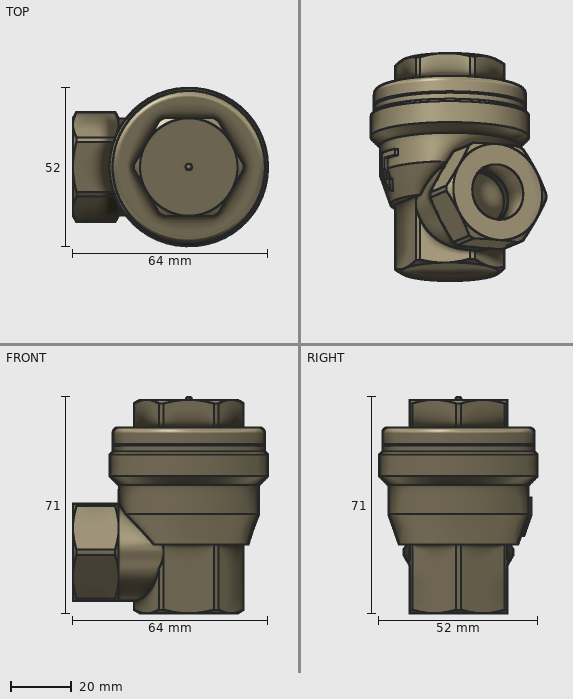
import cadquery as cq
import math

RIGHT_ANGLE = 90.0

NECK_TOP = 22.5
CONE_TOP = 32.5
FLANGE_UNDERSIDE_START = 42.0
FLANGE_BOTTOM = 45.0
FLANGE_TOP = 52.0
SEAT_BOTTOM = 53.0
SEAT_TOP = 55.0
CAP_BOTTOM = 55.5
CAP_TOP = 61.0
CAP_HEX_TOP = 70.0

CONE_BOTTOM_DIAMETER = 39.0
BODY_DIAMETER = 46.0
FLANGE_DIAMETER = 52.0
CAP_DIAMETER = 50.0
GROOVE_DIAMETER = 45.0
CAP_FILLET = 2.0
TOP_PIP_RADIUS = 1.0

HEX_FLATS = 32.0
HEX_CORNERS = 36.0
HEX_CHAMFER_ANGLE = 30.0
HEX_SIDES = 6

INLET_HEIGHT = 20.0
INLET_REACH = 38.0
INLET_HEX_LENGTH = 15.0
INLET_NECK_DIAMETER = 32.0
INLET_NECK_END = -6.0
INLET_BORE_DIAMETER = 18.4
INLET_BORE_DEPTH = 12.0
INLET_INNER_BORE_DIAMETER = 18.0
INLET_INNER_BORE_DEPTH = 15.0

ARROW_RELIEF = 1.0
ARROW_LINE_WIDTH = 2.0
ARROW_START_X = -7.0
ARROW_TOP = 38.0
ARROW_HEAD_BASE = 29.0
ARROW_TIP = 25.4
ARROW_HEAD_WIDTH = 4.0


def cylinder(diameter, bottom, top):
    """Upright cylinder between two levels."""
    return cq.Workplane("XY").workplane(offset=bottom).circle(diameter / 2).extrude(top - bottom)


def turned(outline):
    """Solid of revolution about Z from (radius, height) points."""
    return cq.Workplane("XZ").polyline(outline).close().revolve(360, (0, 0), (0, 1))


def wrench_hex(length, chamfer_bottom, chamfer_top):
    """Hexagon standing on Z = 0, corners on the X axis, chosen ends chamfered."""
    face_radius = HEX_FLATS / 2
    corner_radius = HEX_CORNERS / 2
    drop = (corner_radius - face_radius) * math.tan(math.radians(HEX_CHAMFER_ANGLE))

    outline = [(0, 0)]
    if chamfer_bottom:
        outline += [(face_radius, 0), (corner_radius, drop)]
    else:
        outline += [(corner_radius, 0)]
    if chamfer_top:
        outline += [(corner_radius, length - drop), (face_radius, length)]
    else:
        outline += [(corner_radius, length)]
    outline += [(0, length)]

    turned_blank = turned(outline)
    full_corners = HEX_FLATS / math.cos(math.pi / HEX_SIDES)
    prism = cq.Workplane("XY").polygon(HEX_SIDES, full_corners).extrude(length)
    return prism.intersect(turned_blank)


def bowl(offset=0.0):
    """Cone and cylinder of the lower body, grown outward by an offset."""
    body_radius = BODY_DIAMETER / 2 + offset
    outline = [
        (0, NECK_TOP),
        (CONE_BOTTOM_DIAMETER / 2 + offset, NECK_TOP),
        (body_radius, CONE_TOP),
        (body_radius, FLANGE_UNDERSIDE_START),
        (0, FLANGE_UNDERSIDE_START),
    ]
    return turned(outline)


def flange():
    """Flange with a tapered underside, a small top bevel and the cap seat."""
    outline = [
        (0, FLANGE_UNDERSIDE_START),
        (BODY_DIAMETER / 2, FLANGE_UNDERSIDE_START),
        (FLANGE_DIAMETER / 2, FLANGE_BOTTOM),
        (FLANGE_DIAMETER / 2, FLANGE_TOP),
        (CAP_DIAMETER / 2, SEAT_BOTTOM),
        (CAP_DIAMETER / 2, SEAT_TOP),
        (0, SEAT_TOP),
    ]
    return turned(outline)


def cap():
    """Round cap above the groove, with its wrench hexagon and domed pip."""
    groove_core = cylinder(GROOVE_DIAMETER, SEAT_TOP, CAP_BOTTOM)
    disc = cylinder(CAP_DIAMETER, CAP_BOTTOM, CAP_TOP).faces(">Z").edges().fillet(CAP_FILLET)
    hexagon = wrench_hex(CAP_HEX_TOP - CAP_TOP, False, True).translate((0, 0, CAP_TOP))
    pip = cq.Workplane("XY").sphere(TOP_PIP_RADIUS).translate((0, 0, CAP_HEX_TOP))
    return groove_core.union(disc).union(hexagon).union(pip)


def along_inlet(upright):
    """Turn an upright solid so its Z axis runs along +X from the inlet face."""
    lying = upright.rotate((0, 0, 0), (0, 1, 0), RIGHT_ANGLE)
    return lying.translate((-INLET_REACH, 0, INLET_HEIGHT))


def inlet():
    """Inlet hexagon and the round neck joining it to the body."""
    hexagon = wrench_hex(INLET_HEX_LENGTH, True, True)
    corners_sideways = hexagon.rotate((0, 0, 0), (0, 0, 1), RIGHT_ANGLE)
    neck = cylinder(INLET_NECK_DIAMETER, INLET_HEX_LENGTH, INLET_REACH + INLET_NECK_END)
    return along_inlet(corners_sideways.union(neck))


def inlet_bore():
    """Blind stepped bore of the inlet."""
    outer = cylinder(INLET_BORE_DIAMETER, 0, INLET_BORE_DEPTH)
    inner = cylinder(INLET_INNER_BORE_DIAMETER, 0, INLET_INNER_BORE_DEPTH)
    return along_inlet(outer.union(inner))


def flow_arrow():
    """Raised arrow that runs in from the inlet side and turns down to the outlet."""
    half_line = ARROW_LINE_WIDTH / 2
    half_head = ARROW_HEAD_WIDTH / 2
    outline = [
        (ARROW_START_X, ARROW_TOP),
        (half_line, ARROW_TOP),
        (half_line, ARROW_HEAD_BASE),
        (half_head, ARROW_HEAD_BASE),
        (0, ARROW_TIP),
        (-half_head, ARROW_HEAD_BASE),
        (-half_line, ARROW_HEAD_BASE),
        (-half_line, ARROW_TOP - ARROW_LINE_WIDTH),
        (ARROW_START_X, ARROW_TOP - ARROW_LINE_WIDTH),
    ]
    prism = cq.Workplane("XZ").polyline(outline).close().extrude(-FLANGE_DIAMETER / 2)
    return prism.intersect(bowl(ARROW_RELIEF))


outlet_hex = wrench_hex(NECK_TOP, True, False)
body = outlet_hex.union(bowl()).union(flange()).union(cap()).union(inlet()).union(flow_arrow())
result = body.cut(inlet_bore())